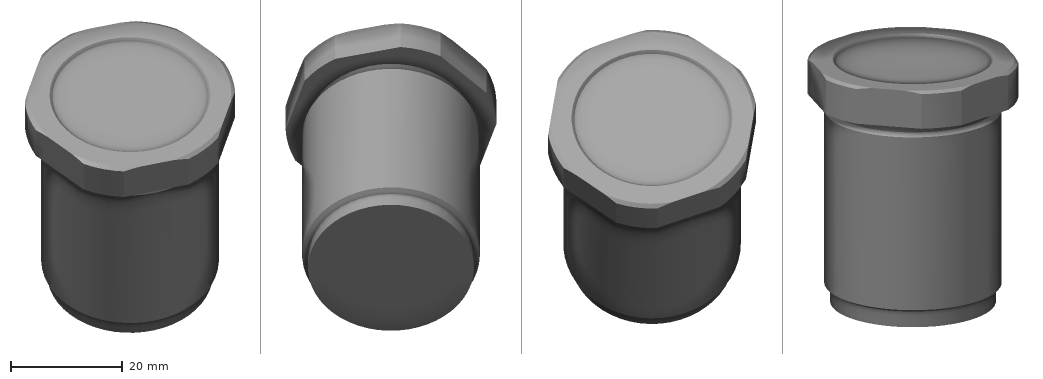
import cadquery as cq
import math

total_height = 46.0
head_height = 7.0
hex_sides = 6
across_flats = 36.0
corner_diameter = 38.0
head_face_diameter = 36.52
head_chamfer_angle = 30.0

neck_diameter = 29.9
body_diameter = 32.0
neck_height = 2.02
spigot_height = 3.0
body_chamfer_height = 0.6

recess_top_diameter = 29.0
recess_floor_diameter = 27.95
recess_depth = 0.5

head_bottom = total_height - head_height
body_top = head_bottom - neck_height


def revolve_profile(points):
    """Turn a closed (radius, height) outline about the Z axis."""
    return cq.Workplane("XZ").polyline(points).close().revolve(360, (0, 0), (0, 1))


def make_shank():
    neck_radius = neck_diameter / 2
    body_radius = body_diameter / 2
    return revolve_profile([
        (0, 0),
        (neck_radius, 0),
        (neck_radius, spigot_height),
        (body_radius, spigot_height + body_chamfer_height),
        (body_radius, body_top - body_chamfer_height),
        (neck_radius, body_top),
        (neck_radius, head_bottom),
        (0, head_bottom),
    ])


def make_head():
    corner_radius = corner_diameter / 2
    face_radius = head_face_diameter / 2
    chamfer_drop = (corner_radius - face_radius) * math.tan(math.radians(head_chamfer_angle))
    turned_blank = revolve_profile([
        (0, head_bottom),
        (corner_radius, head_bottom),
        (corner_radius, total_height - chamfer_drop),
        (face_radius, total_height),
        (0, total_height),
    ])
    sharp_corner_diameter = across_flats / math.cos(math.pi / hex_sides)
    hexagon = (
        cq.Workplane("XY", origin=(0, 0, head_bottom))
        .polygon(hex_sides, sharp_corner_diameter)
        .extrude(head_height)
    )
    return turned_blank.intersect(hexagon)


def make_recess():
    floor_height = total_height - recess_depth
    return revolve_profile([
        (0, floor_height),
        (recess_floor_diameter / 2, floor_height),
        (recess_top_diameter / 2, total_height),
        (0, total_height),
    ])


result = make_head().union(make_shank()).cut(make_recess())